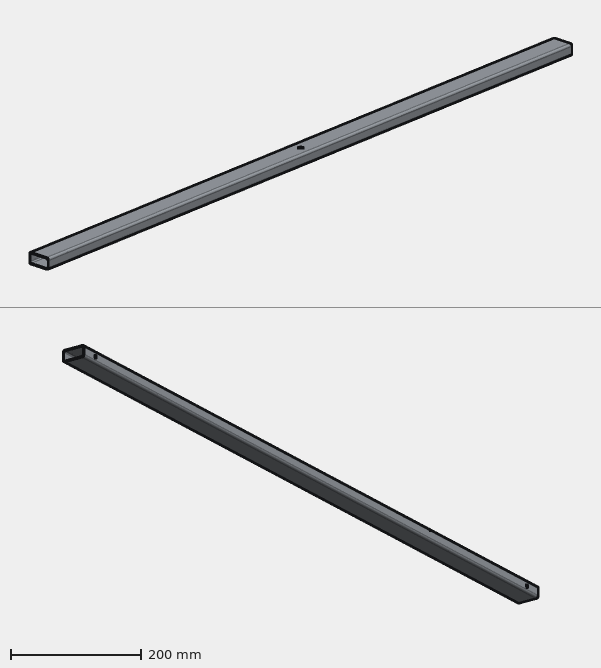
import cadquery as cq

WIDTH = 40.0
LENGTH = 1200.0
HEIGHT = 20.0
WALL = 2.0
OUTER_RADIUS = 4.0
INNER_RADIUS = OUTER_RADIUS - WALL

TOP_HOLE_DIAMETER = 8.0
SIDE_HOLE_DIAMETER = 5.0
SIDE_HOLE_END_DISTANCE = 30.0


def rounded_bar(width, height, radius):
    """Full-length bar along Y, centred on the origin, with rounded long edges."""
    return cq.Workplane("XY").box(width, LENGTH, height).edges("|Y").fillet(radius)


def tube():
    outside = rounded_bar(WIDTH, HEIGHT, OUTER_RADIUS)
    bore = rounded_bar(WIDTH - 2 * WALL, HEIGHT - 2 * WALL, INNER_RADIUS)
    return outside.cut(bore)


def top_hole():
    """Cutter for the hole at mid-length, through the top wall only."""
    return cq.Workplane("XY").circle(TOP_HOLE_DIAMETER / 2).extrude(HEIGHT)


def side_holes():
    """Cutters for one hole near each end, through the -X wall only."""
    offset = LENGTH / 2 - SIDE_HOLE_END_DISTANCE
    return (
        cq.Workplane("YZ")
        .pushPoints([(-offset, 0), (offset, 0)])
        .circle(SIDE_HOLE_DIAMETER / 2)
        .extrude(-WIDTH)
    )


result = tube().cut(top_hole()).cut(side_holes())